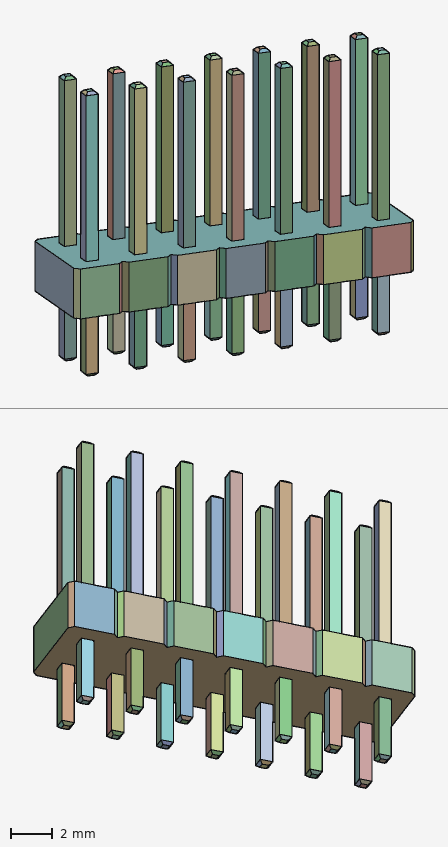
import cadquery as cq

LENGTH = 17.78
WIDTH = 5.0
HOUSING_HEIGHT = 2.5
ROWS = 7
COLUMNS = 2
CELL_CHAMFER = 0.25

PIN_LENGTH = 14.3
PIN_BELOW = 3.3
PIN_SIDE = 0.64
TIP_CHAMFER = 0.151

PITCH = LENGTH / ROWS


def make_housing():
    """Strip whose sides have a V notch between cells and chamfered outer corners."""
    half_width = WIDTH / 2
    right_side = []
    for row in range(ROWS):
        start = row * PITCH - LENGTH / 2
        end = start + PITCH
        right_side.append((half_width - CELL_CHAMFER, start))
        right_side.append((half_width, start + CELL_CHAMFER))
        right_side.append((half_width, end - CELL_CHAMFER))
    right_side.append((half_width - CELL_CHAMFER, LENGTH / 2))
    left_side = [(-x, -y) for x, y in right_side]
    return cq.Workplane("XY").polyline(right_side + left_side).close().extrude(HOUSING_HEIGHT)


def make_pin():
    """Pin on the Z axis, with the housing underside at Z = 0."""
    return (
        cq.Workplane("XY", origin=(0, 0, -PIN_BELOW))
        .rect(PIN_SIDE, PIN_SIDE)
        .extrude(PIN_LENGTH)
        .faces("<Z or >Z")
        .chamfer(TIP_CHAMFER)
    )


result = make_housing()
pin = make_pin()
for column in range(COLUMNS):
    pin_x = (column - (COLUMNS - 1) / 2) * PITCH
    for row in range(ROWS):
        pin_y = (row - (ROWS - 1) / 2) * PITCH
        result = result.union(pin.translate((pin_x, pin_y, 0)))